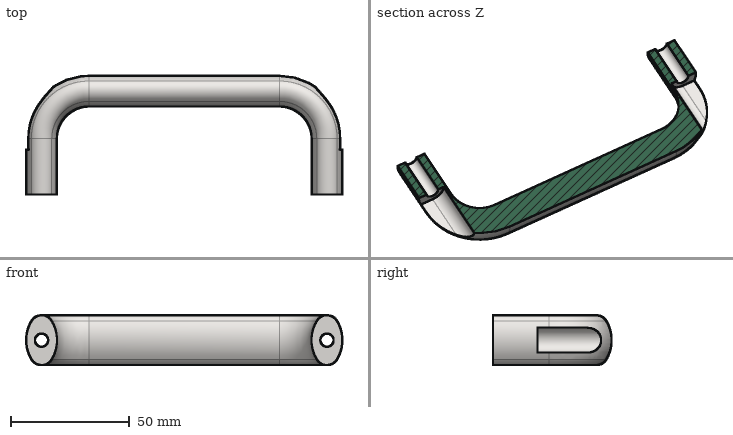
import cadquery as cq
import math

length = 133.0
reach = 50.0
bar_width = 13.0
bar_height = 21.0
tip_radius = 10.0 / 2
bend_radius = 20.0
screw_diameter = 5.5
recess_width = 10.5
recess_floor = 18.9

half_width = bar_width / 2
half_height = bar_height / 2
leg_x = length / 2 - half_width
grip_y = reach - half_width
bend_offset = bend_radius * math.sin(math.radians(45))

tip_center = half_height - tip_radius
side_radius = (half_width**2 + tip_center**2 - tip_radius**2) / (2 * (half_width - tip_radius))
side_center = side_radius - half_width
join_angle = math.atan2(tip_center, side_center)
join_x = tip_radius * math.cos(join_angle)
join_z = tip_center + tip_radius * math.sin(join_angle)


def oval_bar():
    """Sweep the four-arc oval along the U-shaped centreline."""
    bend_x = leg_x - bend_radius
    bend_y = grip_y - bend_radius
    path = (
        cq.Workplane("XY")
        .moveTo(-leg_x, 0)
        .lineTo(-leg_x, bend_y)
        .threePointArc((-bend_x - bend_offset, bend_y + bend_offset), (-bend_x, grip_y))
        .lineTo(bend_x, grip_y)
        .threePointArc((bend_x + bend_offset, bend_y + bend_offset), (leg_x, bend_y))
        .lineTo(leg_x, 0)
    )
    oval = (
        cq.Workplane("XZ", origin=(-leg_x, 0, 0))
        .moveTo(join_x, -join_z)
        .threePointArc((half_width, 0), (join_x, join_z))
        .threePointArc((0, half_height), (-join_x, join_z))
        .threePointArc((-half_width, 0), (-join_x, -join_z))
        .threePointArc((0, -half_height), (join_x, -join_z))
        .close()
    )
    return oval.sweep(path)


def screw_cut(side):
    """Screw hole and outward-open recess for the leg on the given side (-1 or 1)."""
    hole = cq.Workplane("XZ").center(side * leg_x, 0).circle(screw_diameter / 2).extrude(-reach)
    recess_depth = reach - recess_floor
    seat = cq.Workplane("XZ", origin=(side * leg_x, recess_floor, 0))
    bore = seat.circle(recess_width / 2).extrude(-recess_depth)
    opening = seat.center(side * half_width / 2, 0).rect(half_width, recess_width).extrude(-recess_depth)
    return hole.union(bore).union(opening)


result = oval_bar()
for side in (-1, 1):
    result = result.cut(screw_cut(side))